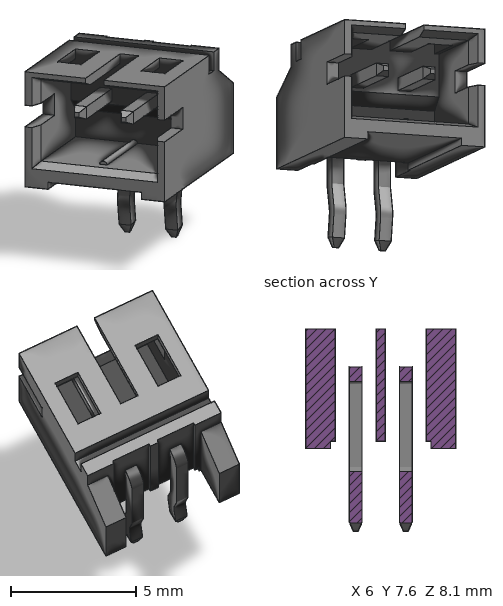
import cadquery as cq
import math


width = 6.0
depth = 7.6
height = 4.79
overall_height = 8.1
back_face = 6.0
ear_width = 0.91
ear_slope_top = height - 0.93
ear_slope_foot = height - 1.88

groove_front = 4.9
groove_width = 0.52
groove_depth = 0.78
foot_width = 1.0
foot_height = 0.29

side_wall = 0.5
cavity_roof = height - 0.405
cavity_floor = height - 3.8
cavity_depth = 3.815
mouth_depth = 0.52
mouth_flare = 0.2
undercut_depth = 0.495
undercut_front_z = height - 2.15
undercut_back_z = undercut_front_z - undercut_depth

opening_length = 2.0
roof_slot_width = 0.785
window_width = 1.02
window_offset = 1.8
notch_top = height - 1.39
notch_height = 0.9

rib_radius = 0.17
rib_front = 0.95
rib_sink = 0.03

pin_pitch = 2.0
pin_size = 0.52
pin_tip_size = 0.195
pin_tip_length = 0.405
pin_front = 0.61
pin_z = height - 1.74
leg_y = 6.24
leg_bottom = height - overall_height
kink_top_z = height - 5.57
kink_z = height - 6.625
kink_in_angle = 14
kink_out_angle = 10
elbow_radius = 0.26
kink_radius = 0.49

relief_depth = 0.11
relief_inner_x = 0.19
relief_outer_x = 1.815


def block(x_range, y_range, z_range):
    """Box spanning the given (low, high) ranges."""
    size = [high - low for low, high in (x_range, y_range, z_range)]
    corner = (x_range[0], y_range[0], z_range[0])
    return cq.Workplane("XY").box(*size, centered=False).translate(corner)


def side_profile(points, thickness):
    """Extrude a YZ outline by a thickness centred on the mid plane."""
    profile = cq.Workplane("YZ").polyline(points).close()
    return profile.extrude(thickness / 2, both=True)


def make_housing():
    outline = [
        (0, 0),
        (depth, 0),
        (depth, ear_slope_foot),
        (back_face, ear_slope_top),
        (back_face, height),
        (0, height),
    ]
    housing = side_profile(outline, width)
    ear_gap = width / 2 - ear_width
    housing = housing.cut(block((-ear_gap, ear_gap), (back_face, depth), (0, height)))
    groove_back = groove_front + groove_width
    housing = housing.cut(
        block((-width / 2, width / 2), (groove_front, groove_back), (height - groove_depth, height))
    )
    channel = width / 2 - foot_width
    housing = housing.cut(block((-channel, channel), (0, depth), (0, foot_height)))
    for inner, outer in ((relief_inner_x, relief_outer_x), (-relief_outer_x, -relief_inner_x)):
        housing = housing.cut(block((inner, outer), (back_face - relief_depth, back_face), (0, height)))
    return housing


def make_cavity():
    inner_width = width - 2 * side_wall
    outline = [
        (0, cavity_floor),
        (cavity_depth + undercut_depth, cavity_floor),
        (cavity_depth + undercut_depth, undercut_back_z),
        (cavity_depth, undercut_front_z),
        (cavity_depth, cavity_roof),
        (0, cavity_roof),
    ]
    cavity = side_profile(outline, inner_width)

    inner_height = cavity_roof - cavity_floor
    inner_center = cavity_floor + inner_height / 2
    mouth = (
        cq.Workplane("XZ", origin=(0, 0, inner_center))
        .rect(inner_width + 2 * mouth_flare, inner_height + 2 * mouth_flare)
        .workplane(offset=-mouth_depth)
        .rect(inner_width, inner_height)
        .loft(ruled=True)
    )
    return cavity.union(mouth)


def make_wall_openings():
    half_slot = roof_slot_width / 2
    roof = (cavity_roof, height)
    openings = block((-half_slot, half_slot), (0, cavity_depth), roof)
    for side in (-1, 1):
        center = side * window_offset
        window_x = (center - window_width / 2, center + window_width / 2)
        openings = openings.union(block(window_x, (cavity_depth - opening_length, cavity_depth), roof))
    notch_z = (notch_top - notch_height, notch_top)
    return openings.union(block((-width / 2, width / 2), (0, opening_length), notch_z))


def make_rib():
    """Round rib along the cavity floor, running back into the rear wall of the undercut."""
    axis_z = cavity_floor - rib_sink
    rib = cq.Workplane("XZ", origin=(0, rib_front, axis_z)).circle(rib_radius)
    return rib.extrude(-(cavity_depth + undercut_depth - rib_front))


def make_tip(base_center, direction):
    """Square pyramid frustum at a pin end, pointing along a direction in the YZ plane."""
    plane = cq.Plane(origin=(0, *base_center), xDir=(1, 0, 0), normal=(0, *direction))
    return (
        cq.Workplane(plane)
        .rect(pin_size, pin_size)
        .workplane(offset=pin_tip_length)
        .rect(pin_tip_size, pin_tip_size)
        .loft(ruled=True)
    )


def offset_bend(corner, angle_in, angle_out, side):
    """Mitred corner of the pin face at a centreline bend; side is 1 for left of travel, -1 for right."""
    bisector = (angle_in + angle_out) / 2 + math.pi / 2
    reach = side * pin_size / 2 / math.cos((angle_out - angle_in) / 2)
    return (corner[0] + reach * math.cos(bisector), corner[1] + reach * math.sin(bisector))


def make_pin():
    kink_in = math.radians(kink_in_angle)
    kink_out = math.radians(kink_out_angle)
    down = -math.pi / 2
    headings = [0, down, down - kink_in, down + kink_out]
    end_direction = (math.cos(headings[-1]), math.sin(headings[-1]))

    kink_y = leg_y - (kink_top_z - kink_z) * math.tan(kink_in)
    tip_reach = pin_tip_length * math.cos(kink_out) + pin_tip_size / 2 * math.sin(kink_out)
    end_z = leg_bottom + tip_reach
    end_y = kink_y + (kink_z - end_z) * math.tan(kink_out)

    start = (pin_front + pin_tip_length, pin_z)
    bends = [(leg_y, pin_z), (leg_y, kink_top_z), (kink_y, kink_z)]
    path = [start, *bends, (end_y, end_z)]
    angles_in = [headings[0], *headings]
    angles_out = [*headings, headings[-1]]
    left, right = (
        [offset_bend(*bend, side) for bend in zip(path, angles_in, angles_out)] for side in (1, -1)
    )
    pin = side_profile(left + right[::-1], pin_size)

    def round_corner(solid, corner, radius):
        nearest = cq.selectors.NearestToPointSelector((0, *corner))
        return solid.edges("|X").edges(nearest).fillet(radius)

    pin = round_corner(pin, right[1], elbow_radius)
    pin = round_corner(pin, left[1], elbow_radius + pin_size)
    pin = round_corner(pin, left[3], kink_radius)
    pin = round_corner(pin, right[3], kink_radius + pin_size)
    pin = pin.union(make_tip(start, (-1, 0)))
    return pin.union(make_tip(path[-1], end_direction))


result = make_housing().cut(make_cavity()).cut(make_wall_openings()).union(make_rib())
for pin_x in (-pin_pitch / 2, pin_pitch / 2):
    result = result.union(make_pin().translate((pin_x, 0, 0)))